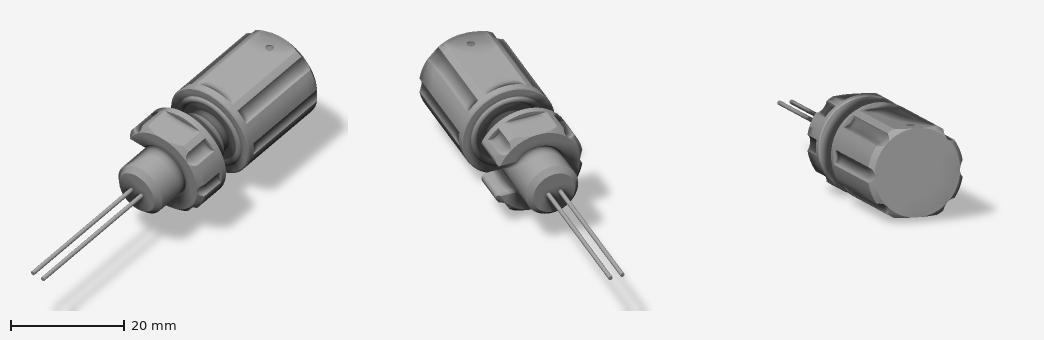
import cadquery as cq
import math


total_length = 67.4
knob_grip_end = 18.55
knob_face = 19.95
neck_end = 22.0
barrel_end = 40.05
nut_start = 26.0
nut_length = 7.0
collar_length = 1.4

grip_diameter = 18.0
grip_radius = grip_diameter / 2
grip_chamfer = 0.95
collar_chamfer = 0.2
flat_distance = 8.0
groove_bottom_radius = 8.0
groove_half_width = 1.5
groove_angles = (0, 45, 135, 180, 225, 315)
dimple_station = 3.4
dimple_diameter = 1.5
dimple_depth = 0.2

ridge_radius = 6.7
ridge_height = 0.5
ridge_tube_radius = 0.7

neck_radius = 4.4
barrel_radius = 5.05
barrel_chamfer = 1.0
lead_radius = 0.4
lead_offset = 1.15

slot_half_width = 2.95
slot_corner_radius = 1.0
bore_chamfer = 0.35

groove_depth = grip_radius - groove_bottom_radius
groove_radius = (groove_half_width**2 + groove_depth**2) / (2 * groove_depth)
groove_center_radius = groove_bottom_radius + groove_radius


def plane_at(station):
    """Sketch plane across the axis: local x is X, local y is Z, and extrusion runs toward -Y."""
    return cq.Workplane("XZ", origin=(0, -station, 0))


def cylinder(radius, start, end):
    return plane_at(start).circle(radius).extrude(end - start)


def grip_cuts(start, end):
    """Two flats and six round grooves that shape a grip between two stations."""
    length = end - start
    block = 2 * grip_radius
    cuts = (
        plane_at(start)
        .pushPoints([(0, side * (flat_distance + block / 2)) for side in (1, -1)])
        .rect(block, block)
        .extrude(length)
    )
    for angle in groove_angles:
        x = groove_center_radius * math.cos(math.radians(angle))
        z = groove_center_radius * math.sin(math.radians(angle))
        cuts = cuts.add(plane_at(start).center(x, z).circle(groove_radius).extrude(length))
    return cuts.combine()


def make_knob_grip():
    grip = cylinder(grip_radius, 0, knob_face)
    grip = grip.faces(">Y").chamfer(grip_chamfer).faces("<Y").chamfer(collar_chamfer)
    dimple = (
        cq.Workplane("XY", origin=(0, -dimple_station, flat_distance))
        .circle(dimple_diameter / 2)
        .extrude(-dimple_depth)
    )
    return grip.cut(grip_cuts(0, knob_grip_end)).cut(dimple)


def make_ridge():
    """Round-topped ring that stands out of the knob's front face."""
    tube_station = knob_face + ridge_height - ridge_tube_radius
    return (
        cq.Workplane("XY")
        .center(ridge_radius, -tube_station)
        .circle(ridge_tube_radius)
        .revolve(360, (-ridge_radius, 0), (-ridge_radius, 1))
    )


def make_knob():
    """Knob, neck, barrel and both leads as one solid."""
    neck = cylinder(neck_radius, knob_face, neck_end)
    barrel = cylinder(barrel_radius, neck_end, barrel_end).faces("<Y").chamfer(barrel_chamfer)
    leads = (
        plane_at(barrel_end)
        .pushPoints([(-lead_offset, 0), (lead_offset, 0)])
        .circle(lead_radius)
        .extrude(total_length - barrel_end)
    )
    return make_knob_grip().union(make_ridge()).union(neck).union(barrel).union(leads)


def make_nut():
    """C-shaped nut: a grip turned the other way round, bored for the barrel and slotted on -X."""
    nut_end = nut_start + nut_length
    ring = cylinder(grip_radius, nut_start, nut_end)
    bore = cylinder(barrel_radius, nut_start, nut_end)
    slot = (
        plane_at(nut_start)
        .center(-grip_radius, 0)
        .rect(2 * grip_radius, 2 * slot_half_width)
        .extrude(nut_length)
    )
    nut = ring.cut(bore.union(slot))

    corner_x = -math.sqrt(grip_radius**2 - slot_half_width**2)
    for side in (1, -1):
        corner = (corner_x, -(nut_start + nut_end) / 2, side * slot_half_width)
        nut = nut.edges(cq.selectors.NearestToPointSelector(corner)).fillet(slot_corner_radius)

    rim = cylinder(grip_radius, nut_start, nut_end)
    rim = rim.faces("<Y").chamfer(grip_chamfer).faces(">Y").chamfer(collar_chamfer)

    mouth = (
        plane_at(nut_end)
        .circle(barrel_radius + bore_chamfer)
        .workplane(offset=-bore_chamfer)
        .circle(barrel_radius)
        .loft()
    )
    slot_mouth = (
        cq.Workplane("YZ")
        .polyline(
            [
                (-nut_end, slot_half_width + bore_chamfer),
                (-nut_end, -slot_half_width - bore_chamfer),
                (-nut_end + bore_chamfer, -slot_half_width),
                (-nut_end + bore_chamfer, slot_half_width),
            ]
        )
        .close()
        .extrude(-grip_radius)
    )
    nut = nut.intersect(rim).cut(mouth).cut(slot_mouth)
    return nut.cut(grip_cuts(nut_start + collar_length, nut_end))


knob = make_knob().solids()
nut = make_nut().solids()

result = cq.Compound.makeCompound([knob.val(), nut.val()])